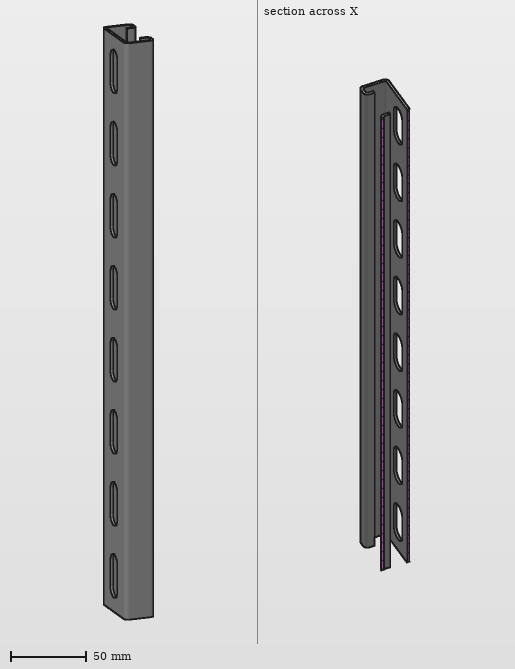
import cadquery as cq

sheet = 2.0
bend_radius = 1.5 * sheet
inner_bend_radius = bend_radius - sheet

mouth = 22.0
lip_flat = 3.5
lip_leg = 4.0
lip_width = lip_flat + 2 * bend_radius
lip_depth = lip_leg + bend_radius
lip_clearance = 14.0

length = 400.0
width = mouth + 2 * lip_width
depth = lip_depth + lip_clearance
web_face = -depth / 2
open_face = depth / 2

slot_count = 8
slot_pitch = length / slot_count
slot_length = 30.0
slot_width = 13.0


def rounded_bar(x_size, y_size, corner_radius):
    """Full-length bar whose four long edges are rounded."""
    return (
        cq.Workplane("XY")
        .rect(x_size, y_size)
        .extrude(length)
        .edges("|Z")
        .fillet(corner_radius)
    )


def open_tube():
    """Rounded tube with its +Y side opened up to where the lip bends begin."""
    outside = rounded_bar(width, depth, bend_radius)
    cavity = rounded_bar(width - 2 * sheet, depth - 2 * sheet, inner_bend_radius)
    opening = (
        cq.Workplane("XY")
        .center(0, open_face / 2)
        .rect(mouth + 2 * bend_radius, open_face)
        .extrude(length)
    )
    return outside.cut(cavity).cut(opening)


def lip(side):
    """Lip on the +X (side = 1) or -X (side = -1) edge: a bend and a leg pointing at the web."""
    free_x = side * mouth / 2
    inner_x = side * (mouth / 2 + sheet)
    bend_x = side * (mouth / 2 + bend_radius)
    bend_y = open_face - bend_radius
    tip_y = open_face - lip_depth
    return (
        cq.Workplane("XY")
        .moveTo(free_x, tip_y)
        .lineTo(free_x, bend_y)
        .radiusArc((bend_x, open_face), side * bend_radius)
        .lineTo(bend_x, open_face - sheet)
        .radiusArc((inner_x, bend_y), -side * inner_bend_radius)
        .lineTo(inner_x, tip_y)
        .close()
        .extrude(length)
    )


def web_slots():
    """Slots through the web, evenly spaced with half a pitch left at each end."""
    return (
        cq.Workplane("XZ", origin=(0, web_face + sheet, length / 2))
        .rarray(4, slot_pitch, 1, slot_count)
        .slot2D(slot_length, slot_width, 90)
        .extrude(sheet)
    )


channel = open_tube().union(lip(1)).union(lip(-1))
result = channel.cut(web_slots())